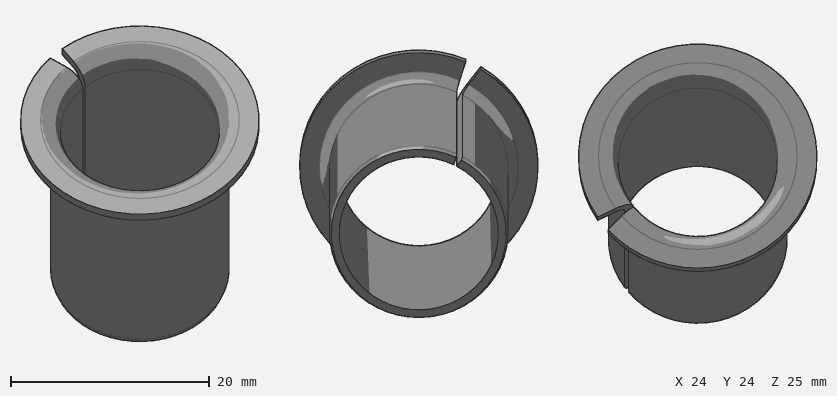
import cadquery as cq
import math

LENGTH = 25.0
BORE_RADIUS = 8.0
WALL = 1.0
FLANGE_RADIUS = 12.0
OUTER_BEND_RADIUS = 1.0
LEAD_IN_HEIGHT = 0.65
LEAD_IN_DEPTH = 0.2
GAP_HALF_ANGLE = 10.0
GAP_HALF_WIDTH_AT_BORE = 0.15
CUT_MARGIN = 1.0

BARREL_RADIUS = BORE_RADIUS + WALL
INNER_BEND_RADIUS = OUTER_BEND_RADIUS + WALL
BEND_CENTRE_RADIUS = BARREL_RADIUS + OUTER_BEND_RADIUS
BEND_CENTRE_HEIGHT = LENGTH - INNER_BEND_RADIUS


def bend_midpoint(bend_radius):
    """Middle of a quarter-circle bend, in (radius, height) coordinates."""
    offset = bend_radius * math.sqrt(0.5)
    return (BEND_CENTRE_RADIUS - offset, BEND_CENTRE_HEIGHT + offset)


def flanged_sleeve():
    """Full revolution of the wall section, with both bends concentric."""
    section = (
        cq.Workplane("XZ")
        .moveTo(BORE_RADIUS, 0)
        .lineTo(BARREL_RADIUS - LEAD_IN_DEPTH, 0)
        .lineTo(BARREL_RADIUS, LEAD_IN_HEIGHT)
        .lineTo(BARREL_RADIUS, BEND_CENTRE_HEIGHT)
        .threePointArc(bend_midpoint(OUTER_BEND_RADIUS), (BEND_CENTRE_RADIUS, LENGTH - WALL))
        .lineTo(FLANGE_RADIUS, LENGTH - WALL)
        .lineTo(FLANGE_RADIUS, LENGTH)
        .lineTo(BEND_CENTRE_RADIUS, LENGTH)
        .threePointArc(bend_midpoint(INNER_BEND_RADIUS), (BORE_RADIUS, BEND_CENTRE_HEIGHT))
        .close()
    )
    sleeve = section.revolve(360, (0, 0), (0, 1))
    return sleeve.rotate((0, 0, 0), (0, 0, 1), 180)


def gap_wedge():
    """Full-height wedge on the -X side that opens outwards from inside the bore."""
    slope = math.tan(math.radians(GAP_HALF_ANGLE))
    apex_x = -BORE_RADIUS + GAP_HALF_WIDTH_AT_BORE / slope
    outer_x = -FLANGE_RADIUS - CUT_MARGIN
    half_width = (apex_x - outer_x) * slope
    return (
        cq.Workplane("XY")
        .workplane(offset=-CUT_MARGIN)
        .polyline([(apex_x, 0), (outer_x, half_width), (outer_x, -half_width)])
        .close()
        .extrude(LENGTH + 2 * CUT_MARGIN)
    )


result = flanged_sleeve().cut(gap_wedge())